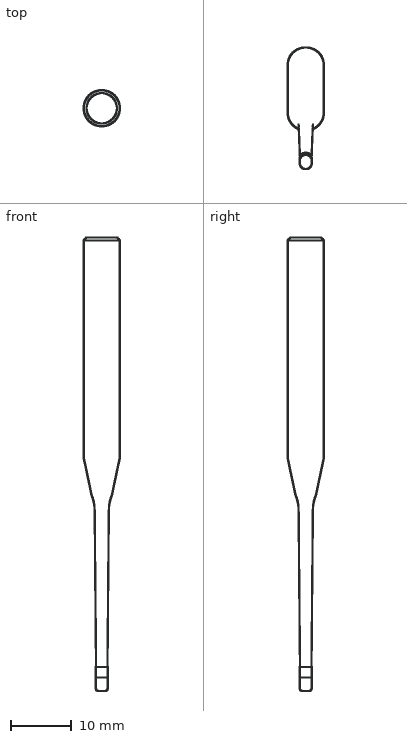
import cadquery as cq

overall_length = 75.0
cut_length = 2.3
land_top = 4.0
neck_top = 30.0
shoulder_bottom = 32.45
shoulder_top = 38.5

cut_radius = 1.0
neck_bottom_radius = 0.97
neck_top_radius = 1.2
shoulder_bottom_radius = 1.72
shank_radius = 3.0

corner_radius = 0.5
shank_chamfer = 0.5


def revolved(profile):
    """Turn a closed half profile, drawn with Y as the radius, around the Z axis."""
    return profile.revolve(360, (0, 0, 0), (0, 1, 0))


cutting_tip = revolved(
    cq.Workplane("YZ")
    .lineTo(cut_radius - corner_radius, 0)
    .radiusArc((cut_radius, corner_radius), -corner_radius)
    .lineTo(cut_radius, cut_length)
    .lineTo(0, cut_length)
    .close()
)

holder = revolved(
    cq.Workplane("YZ")
    .moveTo(0, cut_length)
    .lineTo(cut_radius, cut_length)
    .lineTo(cut_radius, land_top)
    .lineTo(neck_bottom_radius, land_top)
    .lineTo(neck_top_radius, neck_top)
    .tangentArcPoint((shoulder_bottom_radius, shoulder_bottom), relative=False)
    .lineTo(shank_radius, shoulder_top)
    .lineTo(shank_radius, overall_length - shank_chamfer)
    .lineTo(shank_radius - shank_chamfer, overall_length)
    .lineTo(0, overall_length)
    .close()
)

result = cq.Compound.makeCompound([cutting_tip.val(), holder.val()])